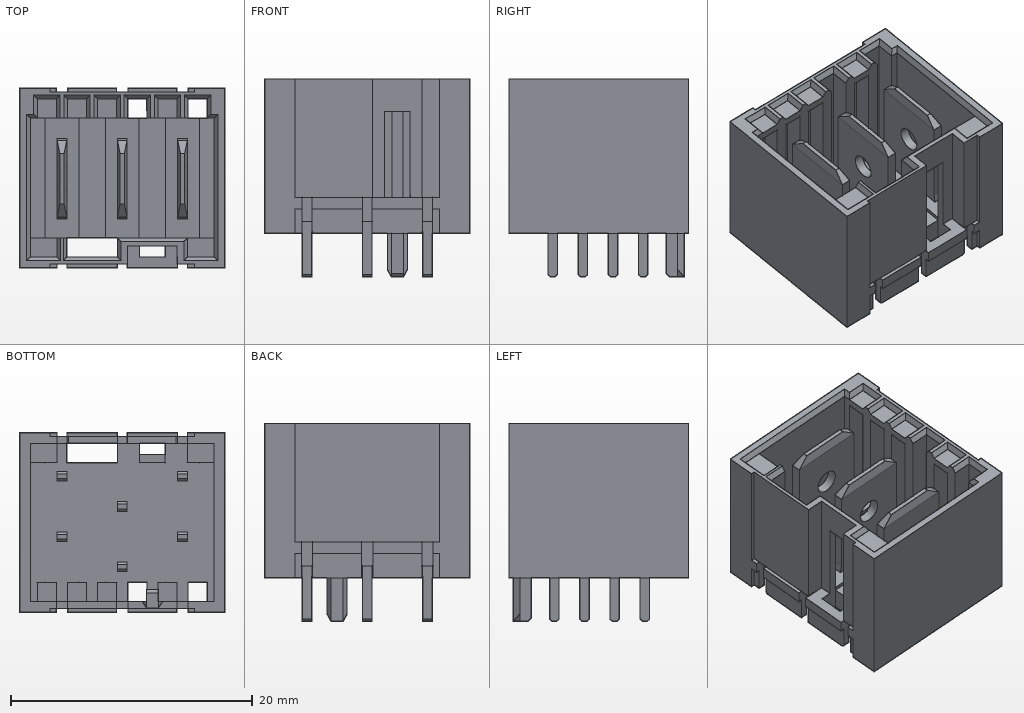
import cadquery as cq

length = 17.0
width = 14.9
height = 12.8
back, front = width / 2, -width / 2

pitch = 5.0
half_pitch = pitch / 2
cavity_x = 7.62
pocket_y = 6.55
cavity_y = 4.96
flare = 0.3
flare_height = 0.42
rim = height - flare_height
plug_thickness = 0.65
back_rib = 0.94
back_pocket = half_pitch - back_rib
back_pocket_xs = [(i - 2.5) * half_pitch for i in range(6)]
back_open = (3, 5)
front_rib = 0.83

floor_bottom = 1.0
floor_top = 2.9
band_top = 3.2
band_length = 2.8

bay_x = half_pitch
bay_outer = 5.81
bay_inner = 4.1
bay_back = -5.65
window_length = 2.12
window_top = 10.1

panel_length = 11.97
panel_depth = 0.3
ledge_bottom, ledge_top = 2.0, 3.0
skirt = back - pocket_y
front_vent = 0.8
back_vent = 0.94
vent_chamfer = 0.15

blade_thickness = 0.8
blade_length = 6.38
blade_y = -0.07
foot_length = 6.65
foot_height = 0.7
tip_thickness, tip_length = 0.35, 4.18
shoulder_z, tip_z = 11.4, 12.15
hole_diameter = 2.0
hole_z = 8.0
pin_size = 0.8
pin_chamfer = 0.2
pin_bottom = -3.6
outer_pin_ys = (-1.5 * half_pitch, 0.5 * half_pitch)
middle_pin_ys = (-0.5 * half_pitch, 1.5 * half_pitch)

peg_neck = 0.99
peg_length = 1.68
peg_front, peg_back = 5.58, 7.09
peg_side_lead, peg_side_lead_height = 0.34, 0.61
peg_front_lead = 0.29

blade_xs = [-pitch, 0, pitch]


def block(x0, x1, y0, y1, z0, z1):
    return cq.Workplane("XY").box(x1 - x0, y1 - y0, z1 - z0, centered=False).translate((x0, y0, z0))


def bar(x, x_size, y0, y1, z0, z1):
    return block(x - x_size / 2, x + x_size / 2, y0, y1, z0, z1)


def frustum(x0, x1, y0, y1, z0, top, z1):
    """Solid between the rectangle x0..y1 at z0 and the rectangle `top` at z1."""
    tx0, tx1, ty0, ty1 = top
    return (
        cq.Workplane("XY", origin=(0, 0, z0))
        .polyline([(x0, y0), (x1, y0), (x1, y1), (x0, y1)]).close()
        .workplane(offset=z1 - z0)
        .polyline([(tx0, ty0), (tx1, ty0), (tx1, ty1), (tx0, ty1)]).close()
        .loft(ruled=True)
    )


def opening(x0, x1, y0, y1, sides, plugged=False):
    """Cut down to the underside, flared at the rim on the named sides ("l", "r", "f", "b")."""
    top = (
        x0 - flare * ("l" in sides),
        x1 + flare * ("r" in sides),
        y0 - flare * ("f" in sides),
        y1 + flare * ("b" in sides),
    )
    shaft_top = rim - plug_thickness if plugged else rim
    return frustum(x0, x1, y0, y1, rim, top, height).union(block(x0, x1, y0, y1, 0, shaft_top))


body = block(-length / 2, length / 2, front, back, 0, height)
for outer, inner in ((front, front + panel_depth), (back - panel_depth, back)):
    body = body.cut(bar(0, panel_length, outer, inner, ledge_top, height))
    body = body.cut(bar(0, panel_length, outer, inner, 0, ledge_bottom))

body = body.cut(opening(-cavity_x, cavity_x, -cavity_y, cavity_y, "lr"))
end_pocket_x = back_pocket_xs[-1] + back_pocket / 2
body = body.cut(opening(-cavity_x, -end_pocket_x, 0, cavity_y, "lb"))
body = body.cut(opening(end_pocket_x, cavity_x, 0, cavity_y, "rb"))

for i, x in enumerate(back_pocket_xs):
    left, right = x - back_pocket / 2, x + back_pocket / 2
    body = body.cut(opening(left, right, cavity_y, pocket_y, "lrb", i not in back_open))

bay_left, bay_right = bay_x - bay_outer / 2, bay_x + bay_outer / 2
rib_left, rib_right = -pitch - front_rib / 2, -pitch + front_rib / 2
body = body.cut(opening(-cavity_x, rib_left, -pocket_y, -cavity_y, "lrf", True))
body = body.cut(opening(rib_right, bay_left, -pocket_y, -cavity_y, "lrf"))
body = body.cut(opening(bay_right, cavity_x, -pocket_y, -cavity_y, "lrf", True))

body = body.cut(opening(bay_left, bay_right, -cavity_y, 0, "f"))
body = body.cut(bar(bay_x, bay_inner, front, bay_back, ledge_top, height))
body = body.cut(bar(bay_x, window_length, -pocket_y, -cavity_y, 0, window_top))

body = body.cut(block(-cavity_x, cavity_x, front + skirt, back - skirt, 0, floor_bottom))
for x in blade_xs:
    body = body.cut(bar(x, front_vent, front, front + skirt, 0, ledge_top))
    body = body.cut(bar(x, back_vent, back - skirt, back, 0, ledge_top))
left_corner, right_corner = -pitch + front_vent / 2, pitch - front_vent / 2
for x, left_bevel, right_bevel in ((left_corner, 0, vent_chamfer), (right_corner, vent_chamfer, 0)):
    bevel = (
        cq.Workplane("XZ", origin=(x, front, 0))
        .polyline([(-left_bevel, 0), (right_bevel, 0), (0, vent_chamfer)]).close()
        .extrude(-skirt)
    )
    body = body.cut(bevel)

body = body.union(block(-cavity_x, cavity_x, -cavity_y, cavity_y, floor_bottom, floor_top))
for x in blade_xs:
    body = body.union(bar(x, band_length, -cavity_y, cavity_y, floor_bottom, band_top))


def tapered_blade(z0, length0, thickness0, z1, length1, thickness1):
    return frustum(
        -thickness0 / 2, thickness0 / 2, -length0 / 2, length0 / 2, z0,
        (-thickness1 / 2, thickness1 / 2, -length1 / 2, length1 / 2), z1,
    )


def contact(pin_ys):
    """Blade with a flared foot, pointed tip and cross hole, and its solder pins."""
    foot_top = band_top + foot_height
    blade = bar(0, blade_thickness, -blade_length / 2, blade_length / 2, floor_bottom, shoulder_z)
    blade = blade.union(
        tapered_blade(band_top, foot_length, blade_thickness, foot_top, blade_length, blade_thickness)
    )
    blade = blade.union(
        tapered_blade(shoulder_z, blade_length, blade_thickness, tip_z, tip_length, tip_thickness)
    )
    hole = cq.Workplane("YZ").center(0, hole_z).circle(hole_diameter / 2).extrude(blade_thickness, both=True)
    blade = blade.cut(hole)
    for y in pin_ys:
        pin = bar(0, pin_size, y - pin_size / 2, y + pin_size / 2, pin_bottom, floor_top)
        blade = blade.union(pin.faces("<Z").edges("|X").chamfer(pin_chamfer))
    return blade.translate((0, blade_y, 0))


def locating_peg():
    """Arrow-shaped peg, widest at the pocket end, with lead-in slopes at the bottom."""
    neck, wing = peg_neck / 2, peg_length / 2
    peg = (
        cq.Workplane("XY", origin=(0, 0, pin_bottom))
        .polyline([
            (-neck, peg_front), (neck, peg_front), (neck, pocket_y), (wing, pocket_y),
            (neck, peg_back), (-neck, peg_back), (-wing, pocket_y), (-neck, pocket_y),
        ]).close()
        .extrude(floor_bottom - pin_bottom)
    )
    side_top = pin_bottom + peg_side_lead_height
    side_slopes = frustum(
        -wing + peg_side_lead, wing - peg_side_lead, peg_front, peg_back, pin_bottom,
        (-wing, wing, peg_front, peg_back), side_top,
    ).union(block(-wing, wing, peg_front, peg_back, side_top, floor_bottom))
    front_top = pin_bottom + peg_front_lead
    front_slope = frustum(
        -wing, wing, peg_front + peg_front_lead, peg_back, pin_bottom,
        (-wing, wing, peg_front, peg_back), front_top,
    ).union(block(-wing, wing, peg_front, peg_back, front_top, floor_bottom))
    return peg.intersect(side_slopes).intersect(front_slope).translate((half_pitch, 0, 0))


for x, pin_ys in zip(blade_xs, (outer_pin_ys, middle_pin_ys, outer_pin_ys)):
    body = body.union(contact(pin_ys).translate((x, 0, 0)))

result = body.union(locating_peg())